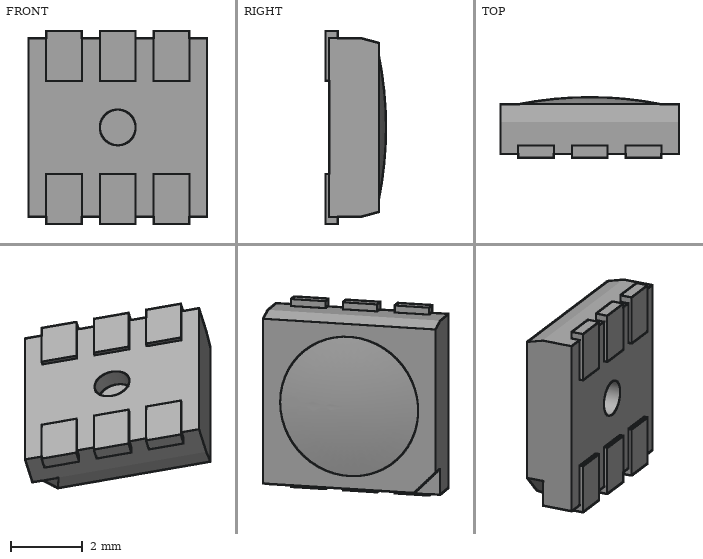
import cadquery as cq

overall_height = 5.4
lip_height = 0.2
housing_side = overall_height - 2 * lip_height
housing_depth = 1.4
bevel_depth = 0.5
bevel_drop = 0.135
corner_cut = 0.75

vent_diameter = 1.0
vent_depth = 0.5

lens_diameter = 4.0
lens_rise = 0.2

pad_width = 1.0
pad_height = 1.4
pad_thickness = 0.1
pad_pitch = 1.5
lip_depth = 0.35

half_side = housing_side / 2
half_height = overall_height / 2


def make_housing():
    """Square block with sloped margins, a marked corner and a blind round hole."""
    bevel_start = housing_depth - bevel_depth
    face_half_height = half_side - bevel_drop
    body = (
        cq.Workplane("YZ")
        .polyline([
            (0, -half_side),
            (bevel_start, -half_side),
            (housing_depth, -face_half_height),
            (housing_depth, face_half_height),
            (bevel_start, half_side),
            (0, half_side),
        ])
        .close()
        .extrude(half_side, both=True)
    )
    corner = (
        cq.Workplane("XZ", origin=(0, housing_depth, 0))
        .polyline([
            (-half_side, -half_side),
            (-half_side + corner_cut, -half_side),
            (-half_side, -half_side + corner_cut),
        ])
        .close()
        .extrude(bevel_depth)
    )
    vent = cq.Workplane("XZ").circle(vent_diameter / 2).extrude(-vent_depth)
    return body.cut(corner).cut(vent)


def make_lens():
    """Shallow spherical cap resting on the +Y face of the housing."""
    lens_radius = lens_diameter / 2
    sphere_radius = (lens_radius**2 + lens_rise**2) / (2 * lens_rise)
    sphere_center = housing_depth + lens_rise - sphere_radius
    mid_radius = lens_radius / 2
    mid_y = sphere_center + (sphere_radius**2 - mid_radius**2) ** 0.5
    return (
        cq.Workplane("XY")
        .moveTo(0, housing_depth)
        .lineTo(lens_radius, housing_depth)
        .threePointArc((mid_radius, mid_y), (0, housing_depth + lens_rise))
        .close()
        .revolve(360, (0, 0, 0), (0, 1, 0))
    )


def make_pad(center_x, side):
    """L-shaped pad wrapping the top (side = 1) or bottom (side = -1) rear edge."""
    lip_end = lip_depth - pad_thickness
    return (
        cq.Workplane("YZ", origin=(center_x, 0, 0))
        .polyline([
            (-pad_thickness, side * (half_height - pad_height)),
            (0, side * (half_height - pad_height)),
            (0, side * half_side),
            (lip_end, side * half_side),
            (lip_end, side * half_height),
            (-pad_thickness, side * half_height),
        ])
        .close()
        .extrude(pad_width / 2, both=True)
    )


housing = make_housing()
lens = make_lens()
pads = []
for side in (-1, 1):
    for column in (-1, 0, 1):
        pads.append(make_pad(column * pad_pitch, side).val())

result = cq.Compound.makeCompound([housing.val(), lens.val(), *pads])